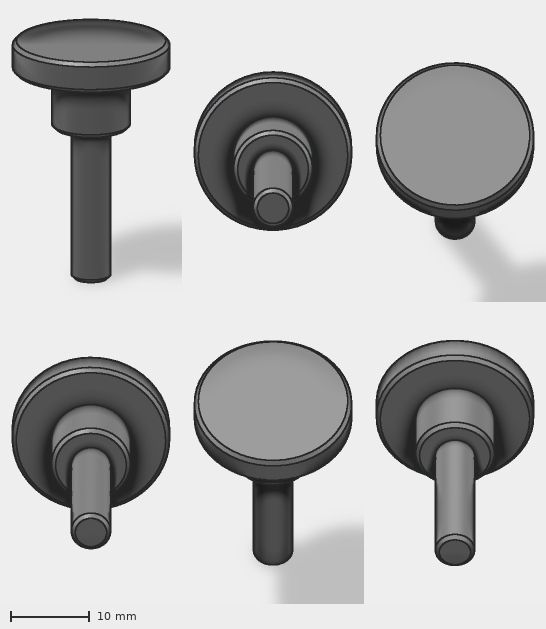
import cadquery as cq

total_height = 31.5
head_diameter = 20.0
head_thickness = 4.0
shank_length = 20.0
edge_chamfer = 0.5

collar_diameter = head_diameter / 2
shank_diameter = collar_diameter / 2
collar_height = total_height - head_thickness - shank_length


def cylinder(diameter, height, base_z):
    """Upright cylinder on the Z axis, standing on base_z."""
    return cq.Workplane("XY").workplane(offset=base_z).circle(diameter / 2).extrude(height)


shank = cylinder(shank_diameter, shank_length, 0).faces("<Z").chamfer(edge_chamfer)

collar = cylinder(collar_diameter, collar_height, shank_length).faces("<Z").chamfer(edge_chamfer)

head_base = shank_length + collar_height
head = cylinder(head_diameter, head_thickness, head_base).faces("<Z or >Z").chamfer(edge_chamfer)

result = shank.union(collar).union(head)